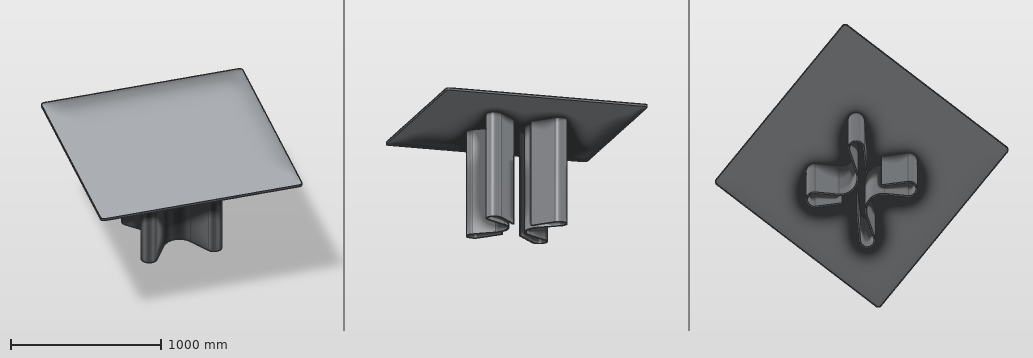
import cadquery as cq
import math

total_height = 735.98
leg_height = 720.0
top_side = 1400.0
top_thickness = total_height - leg_height
top_corner_radius = 25.0

leg_reach = 280.0
half_gap = 60.0
sheet_thickness = 10.0
fold_radius = 55.0
bow_radius = 110.0
lip_angle = math.radians(44.0)

bow_centre = (-half_gap - sheet_thickness - bow_radius, 0.0)
fold_centre = (-leg_reach + fold_radius, leg_reach - fold_radius)

centre_dx = fold_centre[0] - bow_centre[0]
centre_dy = fold_centre[1] - bow_centre[1]
centre_distance = math.hypot(centre_dx, centre_dy)
centre_line_angle = math.atan2(centre_dy, centre_dx)
arm_angle = centre_line_angle - math.acos((bow_radius + fold_radius) / centre_distance)

fold_start_angle = arm_angle + math.pi
fold_mid_angle = (fold_start_angle + lip_angle) / 2

lip_direction = lip_angle - math.pi / 2
lip_start_x = fold_centre[0] + fold_radius * math.cos(lip_angle)
lip_length = (-half_gap - lip_start_x) / math.cos(lip_direction)


def polar(centre, radius, angle):
    return (centre[0] + radius * math.cos(angle), centre[1] + radius * math.sin(angle))


def half_face_points(depth):
    """Points along the sheet from waist to free edge, at a depth below its outer face."""
    bow = bow_radius + depth
    fold = fold_radius - depth
    lip_start = polar(fold_centre, fold, lip_angle)
    return {
        "waist": polar(bow_centre, bow, 0.0),
        "bow_mid": polar(bow_centre, bow, arm_angle / 2),
        "bow_end": polar(bow_centre, bow, arm_angle),
        "fold_start": polar(fold_centre, fold, fold_start_angle),
        "fold_mid": polar(fold_centre, fold, fold_mid_angle),
        "lip_start": lip_start,
        "lip_end": polar(lip_start, lip_length, lip_direction),
    }


def make_leg():
    """The leg on the -X side: its +Y half joined to the mirror image of that half."""
    outer = half_face_points(0.0)
    inner = half_face_points(sheet_thickness)
    half = (
        cq.Workplane("XY")
        .moveTo(*outer["waist"])
        .threePointArc(outer["bow_mid"], outer["bow_end"])
        .lineTo(*outer["fold_start"])
        .threePointArc(outer["fold_mid"], outer["lip_start"])
        .lineTo(*outer["lip_end"])
        .lineTo(*inner["lip_end"])
        .lineTo(*inner["lip_start"])
        .threePointArc(inner["fold_mid"], inner["fold_start"])
        .lineTo(*inner["bow_end"])
        .threePointArc(inner["bow_mid"], inner["waist"])
        .close()
        .extrude(leg_height)
    )
    return half.union(half.mirror("XZ")).clean()


def make_table_top():
    return (
        cq.Workplane("XY")
        .workplane(offset=leg_height)
        .rect(top_side, top_side)
        .extrude(top_thickness)
        .edges("|Z")
        .fillet(top_corner_radius)
    )


table_top = make_table_top()
legs = [make_leg().rotate((0, 0, 0), (0, 0, 1), angle) for angle in (0, 180)]

result = cq.Compound.makeCompound([table_top.val()] + [leg.val() for leg in legs])